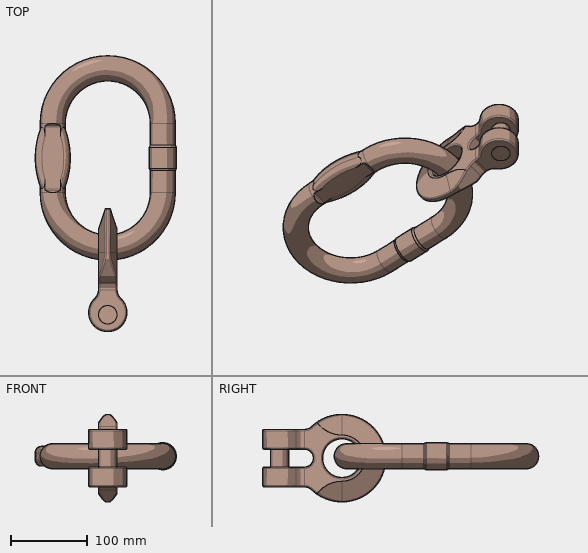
import cadquery as cq
import math

BAR_DIAMETER = 33.0
LINK_INNER_WIDTH = 110.0
LINK_INNER_LENGTH = 200.0
BAR_RADIUS = BAR_DIAMETER / 2
BEND_RADIUS = LINK_INNER_WIDTH / 2 + BAR_RADIUS
HALF_STRAIGHT = (LINK_INNER_LENGTH - LINK_INNER_WIDTH) / 2

COLLAR_DIAMETER = 35.48
COLLAR_LENGTH = 33.0
COLLAR_TAPER = 3.0

PAD_THICKNESS = 26.0
PAD_HALF_WIDTH = 22.99
PAD_SIDE_RADIUS = 106.0
PAD_HALF_LENGTH = 42.0
PAD_EDGE_RADIUS = 8.6
FLAT_END_RADIUS = 3.0

CLEVIS_Y = -122.8
CLEVIS_Z = -2.5
CLEVIS_THICKNESS = 24.5
EYE_HOLE_RADIUS = 25.0
EYE_OUTER_RADIUS = 57.0
LUG_RADIUS = 25.0
LUG_OFFSET = 78.1
LUG_SPAN = 75.0
SLOT_WIDTH = 23.0
NECK_OFFSET = 48.8
EDGE_RADIUS = 2.0

BEVEL_START_RADIUS = 30.0
RIM_THICKNESS = 6.5
RUNOUT_RADIUS = 40.0

PIN_DIAMETER = 24.0
PIN_OFFSET = 81.0


def make_link():
    """Round bar bent into a stadium, with a weld collar and a flattened pad."""
    bar_path = (
        cq.Workplane("XY")
        .moveTo(BEND_RADIUS, -HALF_STRAIGHT)
        .lineTo(BEND_RADIUS, HALF_STRAIGHT)
        .threePointArc((0, HALF_STRAIGHT + BEND_RADIUS), (-BEND_RADIUS, HALF_STRAIGHT))
        .lineTo(-BEND_RADIUS, -HALF_STRAIGHT)
        .threePointArc((0, -HALF_STRAIGHT - BEND_RADIUS), (BEND_RADIUS, -HALF_STRAIGHT))
        .close()
    )
    bar = (
        cq.Workplane("XZ", origin=(BEND_RADIUS, -HALF_STRAIGHT, 0))
        .circle(BAR_RADIUS)
        .sweep(bar_path)
    )
    link = bar.union(make_collar())
    for side in (1, -1):
        link = link.cut(make_flat_cutter(side))
    return link.union(make_pad())


def make_collar():
    """Weld collar around the +X leg, tapered down to the bar at both ends."""
    collar_radius = COLLAR_DIAMETER / 2
    half_length = COLLAR_LENGTH / 2
    half_crown = half_length - COLLAR_TAPER
    return (
        cq.Workplane("XY")
        .polyline([
            (BEND_RADIUS, -half_length),
            (BEND_RADIUS + BAR_RADIUS, -half_length),
            (BEND_RADIUS + collar_radius, -half_crown),
            (BEND_RADIUS + collar_radius, half_crown),
            (BEND_RADIUS + BAR_RADIUS, half_length),
            (BEND_RADIUS, half_length),
        ])
        .close()
        .revolve(360, (BEND_RADIUS, 0, 0), (BEND_RADIUS, 1, 0))
    )


def make_flat_cutter(side):
    """Block that flattens the -X leg above (side = 1) or below (side = -1), with 45 degree ends."""
    floor = PAD_THICKNESS / 2
    top = BAR_RADIUS
    half_floor = HALF_STRAIGHT - (top - floor)
    cutter = (
        cq.Workplane("YZ", origin=(-BEND_RADIUS, 0, 0))
        .polyline([
            (-HALF_STRAIGHT, side * top),
            (-half_floor, side * floor),
            (half_floor, side * floor),
            (HALF_STRAIGHT, side * top),
        ])
        .close()
        .extrude(BAR_RADIUS, both=True)
    )
    floor_face = "<Z" if side > 0 else ">Z"
    return cutter.faces(floor_face).edges("|X").fillet(FLAT_END_RADIUS)


def make_pad():
    """Barrel-shaped swelling of the -X leg, with rounded long edges."""
    sagitta = PAD_SIDE_RADIUS - math.sqrt(PAD_SIDE_RADIUS**2 - PAD_HALF_LENGTH**2)
    end_half_width = PAD_HALF_WIDTH - sagitta
    pad = (
        cq.Workplane("XY", origin=(-BEND_RADIUS, 0, -PAD_THICKNESS / 2))
        .moveTo(end_half_width, -PAD_HALF_LENGTH)
        .threePointArc((PAD_HALF_WIDTH, 0), (end_half_width, PAD_HALF_LENGTH))
        .lineTo(-end_half_width, PAD_HALF_LENGTH)
        .threePointArc((-PAD_HALF_WIDTH, 0), (-end_half_width, -PAD_HALF_LENGTH))
        .close()
        .extrude(PAD_THICKNESS)
    )
    return pad.faces("|Z").edges("%CIRCLE").fillet(PAD_EDGE_RADIUS)


def blend_radius(along, across, circle_radius):
    """Radius of a concave arc that is tangent to a straight edge and to a circle.

    along: distance from the circle centre to the tangent point, measured along the edge
    across: distance from the circle centre to the edge
    """
    return (along**2 + across**2 - circle_radius**2) / (2 * (circle_radius - across))


def blend_points(along, across, circle_radius):
    """Tangent point on the circle and midpoint of the concave arc, as (along, across) pairs."""
    radius = blend_radius(along, across, circle_radius)
    centre_across = across + radius
    reach = circle_radius + radius
    tangent = (along * circle_radius / reach, centre_across * circle_radius / reach)
    start_angle = -math.pi / 2
    end_angle = math.atan2(-centre_across, -along)
    middle_angle = (start_angle + end_angle) / 2
    middle = (
        along + radius * math.cos(middle_angle),
        centre_across + radius * math.sin(middle_angle),
    )
    return tangent, middle


def make_side_profile():
    """Clevis outline in YZ (eye, necks and lugs) extruded to the width of the lugs."""
    half_span = LUG_SPAN / 2
    tip = LUG_OFFSET + LUG_RADIUS
    tangent, middle = blend_points(NECK_OFFSET, half_span, EYE_OUTER_RADIUS)
    return (
        cq.Workplane("YZ")
        .moveTo(-tip, -half_span)
        .lineTo(-NECK_OFFSET, -half_span)
        .threePointArc((-middle[0], -middle[1]), (-tangent[0], -tangent[1]))
        .threePointArc((EYE_OUTER_RADIUS, 0), (-tangent[0], tangent[1]))
        .threePointArc((-middle[0], middle[1]), (-NECK_OFFSET, half_span))
        .lineTo(-tip, half_span)
        .close()
        .extrude(LUG_RADIUS, both=True)
    )


def make_plan_profile():
    """Clevis outline in XY (parallel plate that swells into the round lug), as a tall block."""
    half_plate = CLEVIS_THICKNESS / 2
    tangent, middle = blend_points(LUG_OFFSET - NECK_OFFSET, half_plate, LUG_RADIUS)
    tangent_y = tangent[0] - LUG_OFFSET
    middle_y = middle[0] - LUG_OFFSET
    return (
        cq.Workplane("XY")
        .moveTo(half_plate, EYE_OUTER_RADIUS)
        .lineTo(half_plate, -NECK_OFFSET)
        .threePointArc((middle[1], middle_y), (tangent[1], tangent_y))
        .threePointArc((0, -LUG_OFFSET - LUG_RADIUS), (-tangent[1], tangent_y))
        .threePointArc((-middle[1], middle_y), (-half_plate, -NECK_OFFSET))
        .lineTo(-half_plate, EYE_OUTER_RADIUS)
        .close()
        .extrude(EYE_OUTER_RADIUS, both=True)
    )


def make_slot():
    """Round-ended slot that separates the two lugs."""
    slot_length = LUG_OFFSET + LUG_RADIUS - NECK_OFFSET
    round_end = cq.Workplane("YZ").center(-NECK_OFFSET, 0).circle(SLOT_WIDTH / 2)
    open_part = cq.Workplane("YZ").center(-NECK_OFFSET - slot_length / 2, 0).rect(slot_length, SLOT_WIDTH)
    return round_end.extrude(LUG_RADIUS, both=True).union(open_part.extrude(LUG_RADIUS, both=True))


def bevel_wedge(angle, axis_z):
    """Wedge that thins the +X face toward the rim, turned about an axis along X at height axis_z."""
    half_plate = CLEVIS_THICKNESS / 2
    slope = (half_plate - RIM_THICKNESS / 2) / (EYE_OUTER_RADIUS - BEVEL_START_RADIUS)
    wedge_top = BEVEL_START_RADIUS + RUNOUT_RADIUS
    return (
        cq.Workplane("XZ")
        .polyline([
            (half_plate, BEVEL_START_RADIUS),
            (half_plate - slope * RUNOUT_RADIUS, wedge_top),
            (half_plate, wedge_top),
        ])
        .close()
        .revolve(angle, (0, axis_z, 0), (-1, axis_z, 0))
    )


def make_bevel_cutters():
    """Wedges for both faces: swept round the far half of the eye, then run out along reversed arcs."""
    around_eye = bevel_wedge(180, 0)
    upper_run_out = bevel_wedge(90, BEVEL_START_RADIUS + RUNOUT_RADIUS)
    one_face = [around_eye, upper_run_out, upper_run_out.mirror("XY")]
    return one_face + [cutter.mirror("YZ") for cutter in one_face]


def is_rim_edge(edge):
    """True for the curved edges to be rounded, leaving out where a bevel starts on a flat face."""
    if edge.geomType() == "LINE":
        return False
    if edge.geomType() != "CIRCLE":
        return True
    return all(abs(edge.radius() - start) > 0.01 for start in (BEVEL_START_RADIUS, RUNOUT_RADIUS))


def make_clevis():
    """Bevelled eye with two lugs, all its rims rounded, bored for the pin; eye centre at the origin."""
    blank = make_side_profile().intersect(make_plan_profile())
    eye_hole = cq.Workplane("YZ").circle(EYE_HOLE_RADIUS).extrude(LUG_RADIUS, both=True)
    body = blank.cut(eye_hole).cut(make_slot())
    for cutter in make_bevel_cutters():
        body = body.cut(cutter)
    rims = [edge for edge in body.edges().vals() if is_rim_edge(edge)]
    return body.newObject(rims).fillet(EDGE_RADIUS).cut(make_pin())


def make_pin():
    """Plain pin through both lugs, flush with their outer faces."""
    return (
        cq.Workplane("XY", origin=(0, -PIN_OFFSET, -LUG_SPAN / 2))
        .circle(PIN_DIAMETER / 2)
        .extrude(LUG_SPAN)
    )


clevis_place = (0, CLEVIS_Y, CLEVIS_Z)
link = make_link().solids()
clevis = make_clevis().solids().translate(clevis_place)
pin = make_pin().translate(clevis_place)

result = cq.Compound.makeCompound([link.val(), clevis.val(), pin.val()])